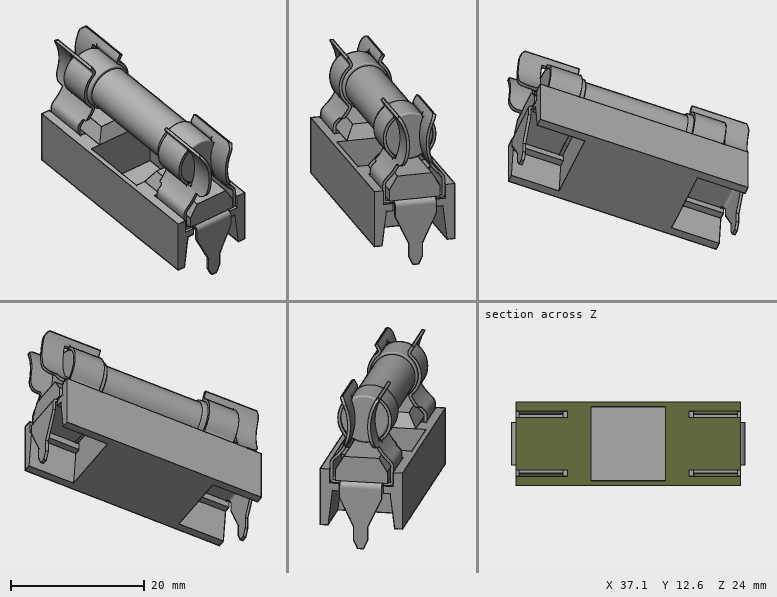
import cadquery as cq
import math


sheet = 0.45
plate_bottom = 9.85
plate_top = plate_bottom + sheet
clip_half_width = 4.85

housing_length = 33.7
housing_width = 12.58
housing_bottom = 3.23
housing_top = 12.02
housing_end = housing_length / 2
pocket_length = 11.15
pocket_width = 11.05
pocket_floor = 4.5
block_width = 7.95
block_ridge_width = 5.38
block_top = 14.15
block_end_run = 1.22
seat_end = 9.13
terminal_slot_width = 6.8
cavity_top = 8.7
cavity_top_width = 8.85
cavity_bottom_width = 10.15

axis_z = 19.3
fuse_axis = (0, axis_z)
cap_radius = 3.67
tube_radius = 3.35
cap_outer_end = 14.18
cap_inner_end = 8.3
cap_wall = cap_radius - tube_radius
cap_outer_round = 0.3
cap_rim_round = 0.15

clip_top = 23.95
stop_gap = 2.6
stop_radius = 8.0
stop_back_radius = stop_radius - sheet
stop_y = stop_gap / 2 + stop_radius
stop_z = 19.52
stop_centre = (stop_y, stop_z)
shoulder_radius = 1.45
heel_radius = 0.55
heel_inner_radius = heel_radius - sheet

stop_tip = 18.55
stop_bottom = 15.92
arm_outer_edge = 16.4
arm_inner_edge = seat_end
foot_inner_edge = 9.8
foot_top = 14.2
stop_corner_radius = 1.4
small_corner_radius = 0.2

window_outer_edge = 14.95
window_bottom = 16.25
window_top = 22.5
wrap_radius = cap_radius + sheet
wrap_bend_radius = 0.3

blade_outer_face = 17.5
blade_bend_radius = 0.9
blade_inner_bend_radius = blade_bend_radius - sheet
blade_width = 6.42
blade_stem_width = 2.1
blade_tip_width = 0.9
blade_shoulder_z = 7.9
blade_stem_top = 3.38
blade_point_z = 1.3


def box_between(x_range, y_range, z_range):
    """Box given by its lower and upper limits along each axis."""
    sizes = [high - low for low, high in (x_range, y_range, z_range)]
    corner = cq.Vector(x_range[0], y_range[0], z_range[0])
    return cq.Workplane(cq.Solid.makeBox(*sizes, pnt=corner))


def fuse_cylinder(radius, x_start, x_end):
    """Solid cylinder around the fuse axis."""
    start = cq.Vector(x_start, *fuse_axis)
    return cq.Workplane(cq.Solid.makeCylinder(radius, x_end - x_start, start, cq.Vector(1, 0, 0)))


def both_sides(body):
    """Join a shape with its mirror image in the plane y = 0."""
    return body.union(body.mirror("XZ"))


def block():
    """Ridge with sloping sides and a sloping inner end, standing above the clip plate."""
    base = box_between((-housing_end, -pocket_length / 2), (-block_width / 2, block_width / 2),
                       (plate_top, block_top))
    half_base = block_width / 2
    half_ridge = block_ridge_width / 2
    cross_section = (
        cq.Workplane("YZ").workplane(offset=-housing_end)
        .polyline([(-half_base, plate_top), (half_base, plate_top), (half_base, housing_top),
                   (half_ridge, block_top), (-half_ridge, block_top), (-half_base, housing_top)])
        .close().extrude(housing_end)
    )
    slope_foot = -pocket_length / 2
    end_slope = (
        cq.Workplane("XZ")
        .polyline([(slope_foot, housing_top), (slope_foot, block_top),
                   (slope_foot - block_end_run, block_top)])
        .close().extrude(block_width, both=True)
    )
    return base.intersect(cross_section).cut(end_slope)


def clip_seat():
    """Room for the clip at one end: foot channels, plate slot, terminal slot and cavity below."""
    x_range = (-housing_end, -seat_end)
    seat = box_between(x_range, (-clip_half_width, clip_half_width), (plate_bottom, housing_top))
    half_slot = terminal_slot_width / 2
    terminal_slot = box_between(x_range, (-half_slot, half_slot), (cavity_top, plate_bottom))
    cavity = (
        cq.Workplane("YZ").workplane(offset=-housing_end)
        .polyline([(-cavity_top_width / 2, cavity_top), (cavity_top_width / 2, cavity_top),
                   (cavity_bottom_width / 2, housing_bottom), (-cavity_bottom_width / 2, housing_bottom)])
        .close().extrude(housing_end - seat_end)
    )
    return seat.union(terminal_slot).union(cavity)


def make_housing():
    body = box_between((-housing_end, housing_end), (-housing_width / 2, housing_width / 2),
                       (housing_bottom, housing_top))
    pocket = box_between((-pocket_length / 2, pocket_length / 2), (-pocket_width / 2, pocket_width / 2),
                         (pocket_floor, housing_top))
    body = body.cut(pocket)
    seat = clip_seat()
    ridge = block()
    for end_seat, end_ridge in ((seat, ridge), (seat.mirror("YZ"), ridge.mirror("YZ"))):
        body = body.cut(end_seat).union(end_ridge)
    return body


def circle_point(radius, centre, angle):
    """Point of a circle in the YZ plane, at an angle measured from +Y."""
    return (centre[0] + radius * math.cos(angle), centre[1] + radius * math.sin(angle))


def direction(start, end):
    """Angle of the line from one point to another."""
    return math.atan2(end[1] - start[1], end[0] - start[0])


def circle_crossings(cap_side_radius, stop_side_radius):
    """Lower and upper points where a circle around the fuse axis crosses one around the stop centre."""
    centre_distance = math.dist(fuse_axis, stop_centre)
    along = (centre_distance**2 + cap_side_radius**2 - stop_side_radius**2) / (2 * centre_distance)
    spread = math.acos(along / cap_side_radius)
    tilt = direction(fuse_axis, stop_centre)
    return [circle_point(cap_side_radius, fuse_axis, tilt + turn) for turn in (-spread, spread)]


def wrap_points(stop_side_radius, cap_side_radius):
    """Ends of the two bends of the wrap on one face of the sheet, from the lowest point to the highest."""
    lower_bend, upper_bend = circle_crossings(wrap_radius + wrap_bend_radius,
                                              stop_back_radius - wrap_bend_radius)
    return [
        circle_point(stop_side_radius, stop_centre, direction(stop_centre, lower_bend)),
        circle_point(cap_side_radius, fuse_axis, direction(fuse_axis, lower_bend)),
        circle_point(cap_side_radius, fuse_axis, direction(fuse_axis, upper_bend)),
        circle_point(stop_side_radius, stop_centre, direction(stop_centre, upper_bend)),
    ]


def arc_through(path, points):
    """Continue a path through the points with arcs, each tangent to the piece before it."""
    for point in points:
        path = path.tangentArcPoint(point, relative=False)
    return path


def arm_strip(outer_edge, inner_edge, wraps_cap):
    """The +Y arm and its half of the plate, as a strip between two distances from the middle of the fuse.

    The strip runs from the plate up the foot and round the shoulder to the stop arc. With wraps_cap,
    the middle of the stop arc is replaced by an arc around the cap.
    """
    shoulder_reach = stop_back_radius + shoulder_radius
    shoulder_y = clip_half_width - shoulder_radius
    shoulder_z = stop_z - math.sqrt(shoulder_reach**2 - (stop_y - shoulder_y) ** 2)
    lower_angle = direction(stop_centre, (shoulder_y, shoulder_z))
    tip_angle = math.pi - math.asin((clip_top - stop_z) / stop_radius)
    foot_inside = clip_half_width - sheet

    path = (
        cq.Workplane("YZ").workplane(offset=-outer_edge)
        .moveTo(0, plate_bottom)
        .lineTo(clip_half_width - heel_radius, plate_bottom)
        .tangentArcPoint((clip_half_width, plate_bottom + heel_radius), relative=False)
        .lineTo(clip_half_width, shoulder_z)
        .tangentArcPoint(circle_point(stop_back_radius, stop_centre, lower_angle), relative=False)
    )
    if wraps_cap:
        path = arc_through(path, wrap_points(stop_back_radius, wrap_radius))
    path = (
        path.tangentArcPoint(circle_point(stop_back_radius, stop_centre, tip_angle), relative=False)
        .lineTo(*circle_point(stop_radius, stop_centre, tip_angle))
    )
    lower_end = circle_point(stop_radius, stop_centre, lower_angle)
    if wraps_cap:
        highest, *others = reversed(wrap_points(stop_radius, cap_radius))
        flare_middle = (tip_angle + direction(stop_centre, highest)) / 2
        path = path.threePointArc(circle_point(stop_radius, stop_centre, flare_middle), highest)
        path = arc_through(path, [*others, lower_end])
    else:
        path = path.threePointArc(circle_point(stop_radius, stop_centre, math.pi), lower_end)
    return (
        path.tangentArcPoint((foot_inside, shoulder_z), relative=False)
        .lineTo(foot_inside, plate_top + heel_inner_radius)
        .tangentArcPoint((foot_inside - heel_inner_radius, plate_top), relative=False)
        .lineTo(0, plate_top)
        .close().extrude(outer_edge - inner_edge)
    )


def arm_outline():
    """Side outline of an arm: wide stop at the outer end, narrower foot below."""
    outline = (
        cq.Workplane("XZ")
        .polyline([(-arm_outer_edge, plate_bottom), (-arm_outer_edge, stop_bottom), (-stop_tip, stop_bottom),
                   (-stop_tip, clip_top), (-arm_inner_edge, clip_top), (-arm_inner_edge, foot_top),
                   (-foot_inner_edge, foot_top), (-foot_inner_edge, plate_bottom)])
        .close().extrude(-2 * clip_half_width)
    )
    outline = outline.edges("|Y and <X").fillet(stop_corner_radius)
    for x, z in ((-arm_outer_edge, stop_bottom), (-arm_inner_edge, clip_top),
                 (-arm_inner_edge, foot_top), (-foot_inner_edge, foot_top)):
        corner = cq.selectors.NearestToPointSelector((x, clip_half_width, z))
        outline = outline.edges("|Y").edges(corner).fillet(small_corner_radius)
    return outline


def clip_arm():
    """+Y arm with its half of the plate: the stop beyond the cap, and the wrap around the cap."""
    window = box_between((-window_outer_edge, -cap_outer_end), (0, clip_half_width),
                         (window_bottom, window_top))
    stop = arm_strip(stop_tip, cap_outer_end, wraps_cap=False).cut(window)
    wrap = arm_strip(cap_outer_end, arm_inner_edge, wraps_cap=True)
    return stop.union(wrap).intersect(arm_outline())


def terminal_blade():
    """Tongue that leaves the plate, bends down and tapers to the solder tip."""
    blade_inner_face = blade_outer_face - sheet
    bend_x = blade_outer_face - blade_bend_radius
    bend_z = plate_top - blade_bend_radius
    bent_strip = (
        cq.Workplane("XZ").workplane(offset=-blade_width / 2)
        .moveTo(-foot_inner_edge, plate_top)
        .lineTo(-bend_x, plate_top)
        .tangentArcPoint((-blade_outer_face, bend_z), relative=False)
        .lineTo(-blade_outer_face, 0)
        .lineTo(-blade_inner_face, 0)
        .lineTo(-blade_inner_face, bend_z)
        .tangentArcPoint((-bend_x, bend_z + blade_inner_bend_radius), relative=False)
        .lineTo(-foot_inner_edge, plate_bottom)
        .close().extrude(blade_width)
    )
    half_blade = blade_width / 2
    half_stem = blade_stem_width / 2
    right_edge = [(blade_tip_width / 2, 0), (half_stem, blade_point_z), (half_stem, blade_stem_top),
                  (half_blade, blade_shoulder_z), (half_blade, plate_top)]
    left_edge = [(-y, z) for y, z in reversed(right_edge)]
    outline = (
        cq.Workplane("YZ").workplane(offset=-blade_outer_face)
        .polyline(right_edge + left_edge).close().extrude(blade_outer_face)
    )
    return bent_strip.intersect(outline)


def make_clip():
    return both_sides(clip_arm()).union(terminal_blade())


def make_tube():
    """Fuse body, running into the caps up to their end walls."""
    tube_end = cap_outer_end - cap_wall
    return fuse_cylinder(tube_radius, -tube_end, tube_end)


def make_cap():
    """Cup-shaped end cap; its wall and end are equally thick."""
    cup = fuse_cylinder(cap_radius, -cap_outer_end, -cap_inner_end)
    cup = cup.edges("<X").fillet(cap_outer_round)
    cup = cup.edges(">X").fillet(cap_rim_round)
    return cup.cut(make_tube())


def at_both_ends(body):
    """The body at the -X end and its mirrored copy at the +X end, as separate solids."""
    return [end_body.val() for end_body in (body, body.mirror("YZ"))]


housing = make_housing()
tube = make_tube()
clips = at_both_ends(make_clip())
caps = at_both_ends(make_cap())

result = cq.Compound.makeCompound([housing.val(), tube.val(), *clips, *caps])